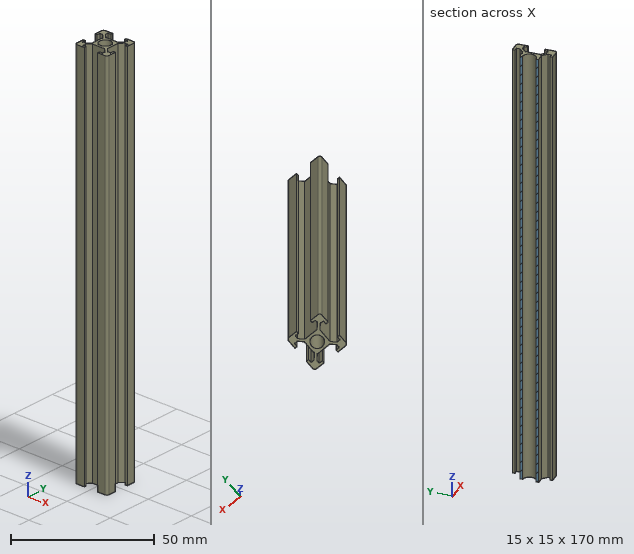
import cadquery as cq
import math

side = 15.0
length = 170.0
corner_radius = 1.0

slot_opening = 6.2
lip_thickness = 1.0
cavity_width = 9.0
core_width = 7.0
web_thickness = 1.0
side_count = 4

bore_diameter = 5.0


def bar_blank():
    """Solid square bar with rounded long edges."""
    return cq.Workplane("XY").rect(side, side).extrude(length).edges("|Z").fillet(corner_radius)


def slot_cutter():
    """Full-length solid that removes the T-slot on the +Y side."""
    mouth_x = slot_opening / 2
    cavity_x = cavity_width / 2
    face_y = side / 2
    lip_y = face_y - lip_thickness
    floor_y = core_width / 2
    web_rise = web_thickness / math.sqrt(2)
    right_half = [
        (mouth_x, face_y),
        (mouth_x, lip_y),
        (cavity_x, lip_y),
        (cavity_x, cavity_x + web_rise),
        (floor_y - web_rise, floor_y),
    ]
    left_half = [(-x, y) for x, y in reversed(right_half)]
    return cq.Workplane("XY").polyline(right_half + left_half).close().extrude(length)


def bore_cutter():
    """Through bore along the bar axis."""
    return cq.Workplane("XY").circle(bore_diameter / 2).extrude(length)


result = bar_blank().cut(bore_cutter())
for index in range(side_count):
    angle = index * 360 / side_count
    result = result.cut(slot_cutter().rotate((0, 0, 0), (0, 0, 1), angle))